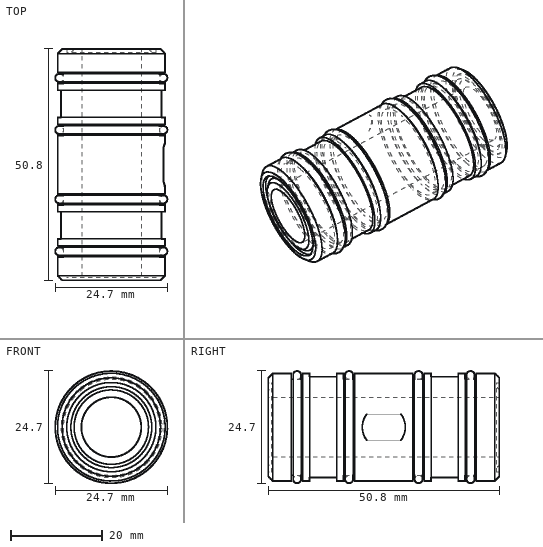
import cadquery as cq

length = 50.8
outer_radius = 11.85
bore_radius = 6.55
end_chamfer = 1.0

ring_outer_radius = 12.35
ring_thickness = 1.8
groove_width = 2.45
ring_offsets = (7.6, 19.05)
ring_radius = ring_outer_radius - ring_thickness / 2
groove_radius = ring_outer_radius - ring_thickness

neck_radius = 11.05
neck_width = 5.95
neck_offset = sum(ring_offsets) / 2

channel_outer_radius = 9.8
channel_floor_radius = 8.9
channel_depth = 0.7

spotface_radius = 4.7
spotface_depth = 0.35


def disc(radius, width, offset):
    """Cylinder around the Y axis, centred at Y = offset."""
    return cq.Workplane("XZ", origin=(0, offset + width / 2, 0)).circle(radius).extrude(width)


def recess(floor_radius, width, offset):
    """Ring of material to remove down to floor_radius, centred at Y = offset."""
    return disc(outer_radius, width, offset).cut(disc(floor_radius, width, offset))


def end_channel(side):
    """Channel to remove from the end face at Y = side * length / 2."""
    face = side * length / 2
    floor = face - side * channel_depth
    profile = [
        (channel_floor_radius - channel_depth, face),
        (channel_outer_radius, face),
        (channel_outer_radius, floor),
        (channel_floor_radius, floor),
    ]
    return cq.Workplane("XY").polyline(profile).close().revolve(360, (0, 0, 0), (0, 1, 0))


def spotface():
    """Round cutter along X whose flat end is the spotface floor."""
    floor_x = outer_radius - spotface_depth
    return cq.Workplane("YZ", origin=(floor_x, 0, 0)).circle(spotface_radius).extrude(2 * spotface_depth)


def make_sleeve():
    body = disc(outer_radius, length, 0).edges().chamfer(end_chamfer)
    body = body.cut(disc(bore_radius, length, 0))
    for side in (-1, 1):
        for offset in ring_offsets:
            body = body.cut(recess(groove_radius, groove_width, side * offset))
        body = body.cut(recess(neck_radius, neck_width, side * neck_offset))
        body = body.cut(end_channel(side))
    return body.cut(spotface())


def make_seal_ring(offset):
    """Round-section ring around the Y axis, centred at Y = offset."""
    return cq.Solid.makeTorus(ring_radius, ring_thickness / 2, cq.Vector(0, offset, 0), cq.Vector(0, 1, 0))


sleeve = make_sleeve()
seal_rings = [make_seal_ring(side * offset) for side in (-1, 1) for offset in ring_offsets]

result = cq.Compound.makeCompound([sleeve.val(), *seal_rings])